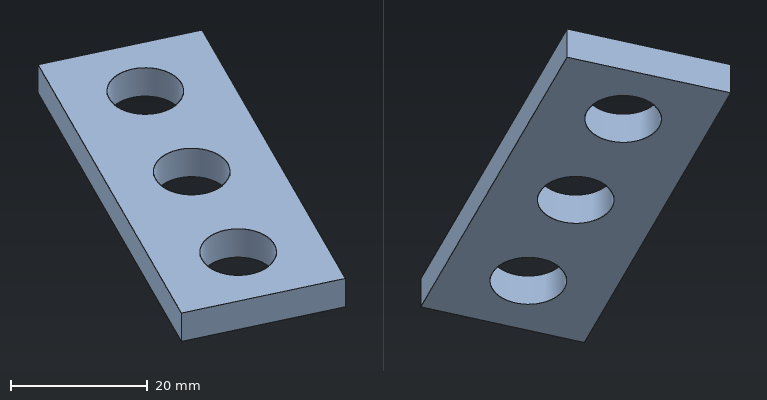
import cadquery as cq

length = 63.5
width = 25.4
thickness = 5.25

hole_diameter = 11.18
hole_count = 3
hole_pitch = 20.57


def make_plate():
    """Flat rectangular plate centred on the origin in X and Y, resting on Z = 0."""
    return cq.Workplane("XY").box(length, width, thickness, centered=(True, True, False))


def drill_hole_row(plate):
    """Drill evenly spaced through holes, with the row centred on the plate."""
    return (
        plate.faces(">Z")
        .workplane(origin=(0, 0, thickness))
        .rarray(hole_pitch, width, hole_count, 1)
        .hole(hole_diameter)
    )


result = drill_hole_row(make_plate())